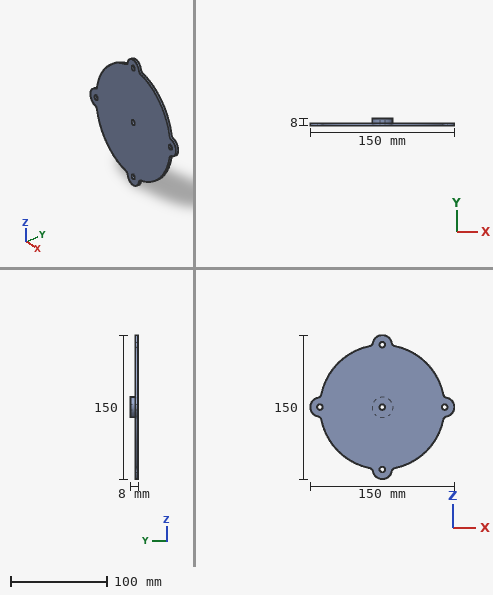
import cadquery as cq

overall_size = 150.0
total_depth = 8.0
plate_thickness = 3.0
ear_radius = 10.0
ear_fillet_radius = 4.0
hub_diameter = 21.5
hole_diameter = 5.5
ear_count = 4

disc_radius = overall_size / 2 - ear_radius


def cylinder(radius, depth):
    """Cylinder along +Y from the flat front face at Y = 0."""
    return cq.Workplane("XZ").circle(radius).extrude(-depth)


def ear_centers(workplane):
    """Points evenly spaced around the rim, starting on the X axis."""
    return workplane.polarArray(disc_radius, 0, 360, ear_count)


plate = cylinder(disc_radius, plate_thickness)
ears = ear_centers(cq.Workplane("XZ")).circle(ear_radius).extrude(-plate_thickness)
plate = plate.union(ears)

corner_edges = plate.edges("|Y").filter(
    lambda edge: max(abs(edge.Center().x), abs(edge.Center().z)) < disc_radius
    and min(abs(edge.Center().x), abs(edge.Center().z)) > ear_radius / 2
)
plate = corner_edges.fillet(ear_fillet_radius)

body = plate.union(cylinder(hub_diameter / 2, total_depth))

hole_radius = hole_diameter / 2
ear_holes = ear_centers(cq.Workplane("XZ")).circle(hole_radius).extrude(-total_depth)
result = body.cut(cylinder(hole_radius, total_depth)).cut(ear_holes)